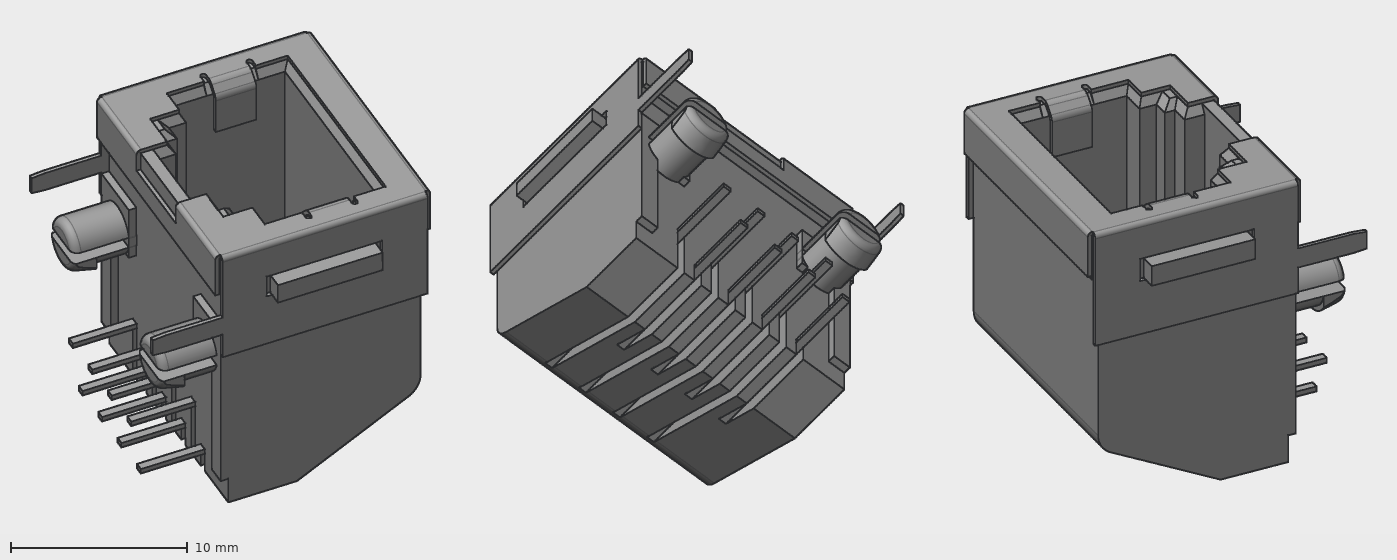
import cadquery as cq
import math


sheet = 0.25
bend_radius = 0.3
corner_relief = 0.31
height = 18.5
shield_half_width = 8.03
plate_depth = 12.9
plate_bottom = 11.14
flap_half_width = 7.71
flap_bottom = 15.6
shield_front = -corner_relief
shield_back = plate_depth + corner_relief
latch_notch_bottom = 17.04
tail_tip = -4.38
tail_taper_start = -3.53
tail_bottom = 12.82
tail_top = 14.08
tail_taper = 0.07

tab_center_y = 7.42
tab_half_width = 1.28
tab_slit_width = 0.35
tab_slit_end = 7.03
tab_bend_start = 6.53
tab_bend_radius = 0.55
tab_bend_angle = math.radians(45)
tab_face = 5.59
tab_bottom = 15.23

housing_half_width = shield_half_width - sheet
housing_top = height - sheet
housing_back = 12.58
face_recess = 0.48
back_slope_top = 4.1
back_slope_foot = 4.8
back_corner_radius = 1.5
rim_front = shield_front + sheet
rim_back = shield_back - sheet
rim_front_bottom = flap_bottom
rim_back_bottom = 15.35

chamfer_depth = 0.55
lip_inner_y = 0.72
cavity_floor = 6.48
latch_half_width = 2.55
opening_half_width = 6.38
opening_back = 11.05
shoulder_y = 3.45
step_half_width = 4.77
step_y = 1.61
ledge_half_width = 3.87
ledge_y = 2.09
throat_half_width = 6.05
throat_back = 10.71
throat_shoulder_y = 3.72
throat_step_half_width = 4.44
throat_step_y = 2.65
throat_ledge_half_width = 3.4
throat_ledge_y = 2.0
throat_latch_half_width = 2.2

rib_span = 17.6
rib_reach = rib_span / 2
rib_front = 3.1
rib_back = 9.7
rib_bottom = 14.63
rib_top = 15.93
window_end_gap = 0.33
window_top_gap = 0.17

pad_inner_x = 4.2
pad_bottom = 9.21
pad_top = 12.75
strip_inner_x = 6.59
strip_bottom = 1.75
post_spacing = 11.45
post_x = post_spacing / 2
post_z = 10.35
post_radius = 1.57
post_half_width = 1.54
post_slot = 0.72
post_tip = -3.52
post_tip_radius = 0.5
barb_start = -2.02
barb_radius = 1.9
barb_tip_radius = 1.6

pin_count = 8
row_pitch = 2.53
pin_pitch = row_pitch / 2
pin_width = 0.52
pin_thickness = 0.33
pin_tip = -3.53
pin_inner_end = 3.7
upper_pin_top = 4.16
lower_pin_top = 1.61


def block(x0, x1, y0, y1, z0, z1):
    """Box between two opposite corners."""
    return cq.Workplane("XY").box(x1 - x0, y1 - y0, z1 - z0, centered=False).translate((x0, y0, z0))


def both_sides(shape):
    """The shape together with its mirror image across X = 0."""
    return shape.union(shape.mirror("YZ"))


def mirrored_outline(half):
    """Closed outline from the points of its +X half."""
    return half + [(-x, y) for x, y in reversed(half)]


def pin_place(index):
    """Centre X and top Z of a pin; neighbours alternate between two rows."""
    x = (index - (pin_count - 1) / 2) * pin_pitch
    top = upper_pin_top if index % 2 == 0 else lower_pin_top
    return x, top


def make_pin(index):
    x, top = pin_place(index)
    half = pin_width / 2
    return block(x - half, x + half, pin_tip, pin_inner_end, top - pin_thickness, top)


def make_pin_slots():
    """Slots open at the underside, with a closed-ended recess on top of each for its pin."""
    slots = cq.Workplane("XY")
    half = pin_width / 2
    for index in range(pin_count):
        x, top = pin_place(index)
        slots = slots.union(block(x - half, x + half, 0, housing_back, 0, top - pin_thickness))
        slots = slots.union(block(x - half, x + half, 0, pin_inner_end, 0, top))
    return slots


def make_cavity():
    """Stepped plug cavity with a chamfered mouth."""
    mouth = mirrored_outline([
        (opening_half_width, opening_back),
        (opening_half_width, shoulder_y),
        (step_half_width, shoulder_y),
        (step_half_width, ledge_y),
        (ledge_half_width, ledge_y),
        (ledge_half_width, step_y),
        (latch_half_width, step_y),
        (latch_half_width, lip_inner_y),
    ])
    throat = mirrored_outline([
        (throat_half_width, throat_back),
        (throat_half_width, throat_shoulder_y),
        (throat_step_half_width, throat_shoulder_y),
        (throat_step_half_width, throat_step_y),
        (throat_ledge_half_width, throat_step_y),
        (throat_ledge_half_width, throat_ledge_y),
        (throat_latch_half_width, throat_ledge_y),
        (throat_latch_half_width, lip_inner_y),
    ])
    throat_z = housing_top - chamfer_depth
    chamfer = (
        cq.Workplane("XY", origin=(0, 0, throat_z)).polyline(throat).close()
        .workplane(offset=chamfer_depth).polyline(mouth).close()
        .loft(ruled=True)
    )
    well = (
        cq.Workplane("XY", origin=(0, 0, cavity_floor)).polyline(throat).close()
        .extrude(throat_z - cavity_floor)
    )
    return well.union(chamfer)


def make_tab_seat():
    """Wider chamfer of the +X cavity edge that clears the bent root of the spring tab."""
    half = tab_half_width + tab_slit_width
    return (
        cq.Workplane("XZ", origin=(0, tab_center_y + half, 0))
        .polyline([
            (throat_half_width, housing_top - chamfer_depth),
            (tab_bend_start, housing_top),
            (throat_half_width, housing_top),
        ])
        .close().extrude(2 * half)
    )


def make_post():
    """Snap post on the +X side: split round pin with flattened sides and a tapered barb below."""
    round_pin = (
        cq.Workplane("XZ", origin=(post_x, face_recess, post_z)).circle(post_radius)
        .extrude(face_recess - post_tip)
        .faces("<Y").edges().fillet(post_tip_radius)
    )
    barb = (
        cq.Workplane("XY")
        .polyline([(0, barb_start), (barb_radius, barb_start), (barb_tip_radius, post_tip), (0, post_tip)])
        .close().revolve(360, (0, 0), (0, 1))
        .faces("<Y").edges().fillet(post_tip_radius)
        .translate((post_x, 0, post_z))
    )
    x0 = post_x - post_half_width
    x1 = post_x + post_half_width
    lower_half = block(x0, x1, post_tip, barb_start, post_z - barb_radius, post_z)
    between_flats = block(x0, x1, post_tip, face_recess, post_z - post_radius, post_z + post_radius)
    slot = block(x0, x1, post_tip, 0, post_z - post_slot / 2, post_z + post_slot / 2)
    return round_pin.intersect(between_flats).union(barb.intersect(lower_half)).cut(slot)


def make_housing():
    body = (
        cq.Workplane("YZ", origin=(-housing_half_width, 0, 0))
        .polyline([
            (face_recess, 0),
            (back_slope_foot, 0),
            (housing_back, back_slope_top),
            (housing_back, housing_top),
            (face_recess, housing_top),
        ])
        .close().extrude(2 * housing_half_width)
    )
    slope_corner = cq.selectors.NearestToPointSelector((0, housing_back, back_slope_top))
    body = body.edges("|X").edges(slope_corner).fillet(back_corner_radius)

    rim_mid = plate_depth / 2
    body = body.union(block(
        -flap_half_width, flap_half_width, rim_front, rim_mid, rim_front_bottom, housing_top))
    body = body.union(block(
        -flap_half_width, flap_half_width, rim_mid, rim_back, rim_back_bottom, housing_top))

    pad = block(pad_inner_x, housing_half_width, 0, face_recess, pad_bottom, pad_top)
    strip = block(strip_inner_x, housing_half_width, 0, face_recess, strip_bottom, pad_bottom)
    rib = block(housing_half_width, rib_reach, rib_front, rib_back, rib_bottom, rib_top)
    for feature in (pad, strip, rib, make_post()):
        body = body.union(both_sides(feature))

    body = body.cut(make_cavity()).cut(make_pin_slots())
    return body.cut(both_sides(make_tab_seat()))


def make_spring_tab():
    """Spring tab on the +X side: two equal bends turn it from the top plate down into the cavity."""
    outer = tab_bend_radius
    inner = tab_bend_radius - sheet
    first = (tab_bend_start, height - outer)
    run = first[0] - tab_face - outer
    second = (first[0] - run, first[1] - run * math.tan(tab_bend_angle))

    def on_bend(center, radius, angle):
        return center[0] - radius * math.sin(angle), center[1] + radius * math.cos(angle)

    def bend_points(center, radius, start, end):
        return [on_bend(center, radius, a) for a in (start, (start + end) / 2, end)]

    upright = math.radians(90)
    out1 = bend_points(first, outer, 0, tab_bend_angle)
    out2 = bend_points(second, outer, tab_bend_angle, upright)
    in2 = bend_points(second, inner, upright, tab_bend_angle)
    in1 = bend_points(first, inner, tab_bend_angle, 0)
    return (
        cq.Workplane("XZ", origin=(0, tab_center_y + tab_half_width, 0))
        .moveTo(tab_slit_end, height)
        .lineTo(*out1[0]).threePointArc(*out1[1:])
        .lineTo(*out2[0]).threePointArc(*out2[1:])
        .lineTo(tab_face, tab_bottom)
        .lineTo(tab_face + sheet, tab_bottom)
        .lineTo(*in2[0]).threePointArc(*in2[1:])
        .lineTo(*in1[0]).threePointArc(*in1[1:])
        .lineTo(tab_slit_end, height - sheet)
        .close().extrude(2 * tab_half_width)
    )


def make_tab_slits():
    """Round-ended slits beside the +X spring tab, joined by the gap the tab was bent out of."""
    half = tab_half_width + tab_slit_width
    end = tab_slit_end - tab_slit_width / 2
    slits = block(
        tab_face, tab_bend_start, tab_center_y - half, tab_center_y + half, housing_top, height)
    for side in (-1, 1):
        y = tab_center_y + side * (tab_half_width + tab_slit_width / 2)
        slits = slits.union(block(
            tab_face, end, y - tab_slit_width / 2, y + tab_slit_width / 2, housing_top, height))
        slits = slits.union(
            cq.Workplane("XY", origin=(end, y, housing_top)).circle(tab_slit_width / 2).extrude(sheet))
    return slits


def make_tail():
    """Solder tail on the +X side, continuing the side plate past the front."""
    return (
        cq.Workplane("YZ", origin=(housing_half_width, 0, 0))
        .polyline([
            (0, tail_bottom),
            (tail_taper_start, tail_bottom),
            (tail_tip, tail_bottom + tail_taper),
            (tail_tip, tail_top - tail_taper),
            (tail_taper_start, tail_top),
            (0, tail_top),
        ])
        .close().extrude(sheet)
    )


def make_shield():
    outside = block(
        -shield_half_width, shield_half_width, shield_front, shield_back, plate_bottom, height
    ).faces(">Z").edges().fillet(bend_radius)
    inside = block(
        -housing_half_width, housing_half_width, rim_front, rim_back, plate_bottom, housing_top
    )
    plates = block(-shield_half_width, shield_half_width, 0, plate_depth, plate_bottom, height)
    flaps = block(-flap_half_width, flap_half_width, shield_front, shield_back, flap_bottom, height)
    shell = outside.cut(inside).intersect(plates.union(flaps))

    opening = (
        cq.Workplane("XY", origin=(0, 0, housing_top))
        .polyline(mirrored_outline([
            (opening_half_width, opening_back),
            (opening_half_width, shoulder_y),
            (step_half_width, shoulder_y),
            (step_half_width, step_y),
        ]))
        .close().extrude(sheet)
    )
    latch_notch = block(
        -latch_half_width, latch_half_width, shield_front, step_y, latch_notch_bottom, height)
    window = block(
        housing_half_width, shield_half_width,
        rib_front - window_end_gap, rib_back + window_end_gap,
        rib_bottom, rib_top + window_top_gap)
    shell = shell.cut(opening).cut(latch_notch)
    shell = shell.cut(both_sides(window.union(make_tab_slits())))
    return shell.union(both_sides(make_spring_tab())).union(both_sides(make_tail()))


housing = make_housing()
shield = make_shield()
pins = [make_pin(index) for index in range(pin_count)]

result = cq.Compound.makeCompound([
    housing.solids().val(),
    shield.solids().val(),
    *[pin.val() for pin in pins],
])